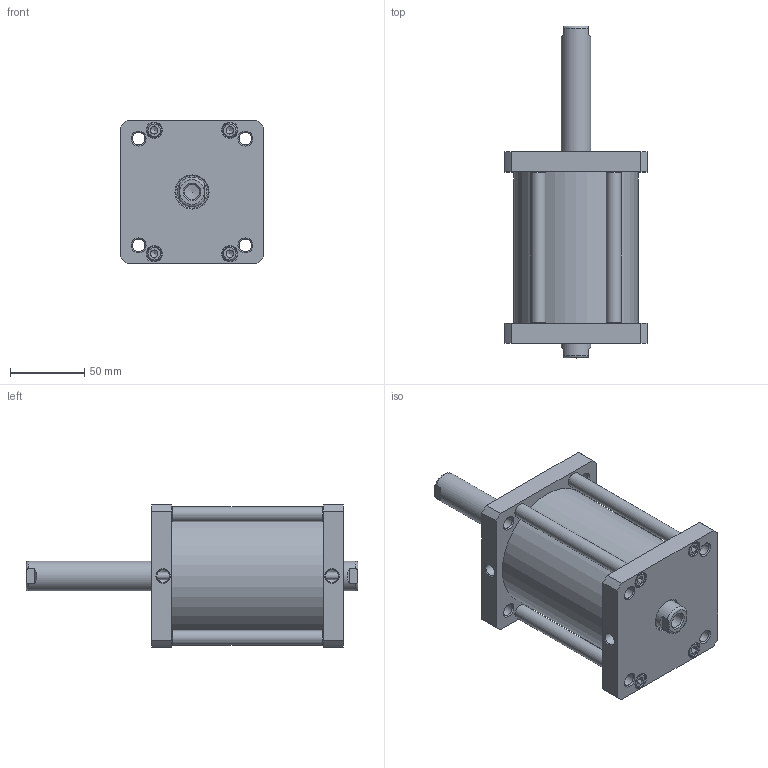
import cadquery as cq
import math


plate_size = 96.0
plate_thickness = 13.5
plate_corner_diameter = 130.0
plate_gap = 102.0
rear_plate_y = plate_thickness + plate_gap
body_length = rear_plate_y + plate_thickness

mount_offset = 36.0
mount_hole_diameter = 8.38
mount_mouth_diameter = 10.0

port_diameter = 8.57
port_mouth_diameter = 9.7
port_depth = 14.0
port_y = 7.5
drill_point_angle = 118.0

bore_mouth_diameter = 23.0
bore_recess_diameter = 21.9
bore_recess_depth = 2.0
bore_mouth_depth = (bore_mouth_diameter - bore_recess_diameter) / 2

barrel_outer_diameter = 84.0
barrel_inner_diameter = 80.0

rod_diameter = 20.0
rod_front_reach = 10.0
rod_rear_reach = 85.0
rod_tip_radius = 1.7
flat_width = 17.0
flat_length = 6.0
flat_run_out_length = 1.2
rod_thread_diameter = 10.11
rod_thread_mouth = 12.0
rod_thread_depth = 20.0
rod_thread_point_angle = 160.0

tie_x = 25.5
tie_z = 41.7
tie_diameter = 10.0
tie_chamfer = 0.5
tie_shank_diameter = 6.0
head_diameter = 10.0
head_height = 6.0
head_chamfer = 0.8
head_recess_diameter = 10.5
head_recess_mouth = 11.0
head_recess_depth = 6.5
hex_across_flats = 5.0
hex_depth = 4.0

pin_diameter = 5.0
pin_x = -34.0
pin_end_y = 1.5

signs = (-1, 1)
tie_points = [(sx * tie_x, sz * tie_z) for sx in signs for sz in signs]
mount_points = [(sx * mount_offset, sz * mount_offset) for sx in signs for sz in signs]


def cone_y(x, z, y_start, y_end, start_diameter, end_diameter):
    """Cone along Y whose diameter changes from y_start to y_end."""
    base = cq.Vector(x, y_start, z)
    length = y_end - y_start
    cone = cq.Solid.makeCone(start_diameter / 2, end_diameter / 2, length, base, cq.Vector(0, 1, 0))
    return cq.Workplane(obj=cone)


def cylinder_y(x, z, y_start, y_end, diameter):
    """Cylinder along Y from y_start to y_end."""
    base = cq.Vector(x, y_start, z)
    cylinder = cq.Solid.makeCylinder(diameter / 2, y_end - y_start, base, cq.Vector(0, 1, 0))
    return cq.Workplane(obj=cylinder)


def mirror_to_rear(shape):
    """Turn a front-end feature into the matching rear-end one."""
    return shape.mirror("XZ", (0, body_length / 2, 0))


def point_height(diameter, point_angle):
    """Height of the cone at the bottom of a drilled hole."""
    return diameter / 2 / math.tan(math.radians(point_angle / 2))


def mouth(x, z, hole_diameter, mouth_diameter):
    """45 degree countersinks on both faces of the front plate."""
    depth = (mouth_diameter - hole_diameter) / 2
    outer = cone_y(x, z, 0, depth, mouth_diameter, hole_diameter)
    inner = cone_y(x, z, plate_thickness - depth, plate_thickness, hole_diameter, mouth_diameter)
    return outer.union(inner)


def make_port():
    """Drilled port, entered from the -X side between the two faces of the plate."""
    radius = port_diameter / 2
    mouth_radius = port_mouth_diameter / 2
    mouth_depth = mouth_radius - radius
    profile = (
        cq.Workplane("XY")
        .lineTo(0, mouth_radius)
        .lineTo(mouth_depth, radius)
        .lineTo(port_depth, radius)
        .lineTo(port_depth + point_height(port_diameter, drill_point_angle), 0)
        .close()
    )
    port = profile.revolve(360, (0, 0, 0), (1, 0, 0))
    return port.translate((-plate_size / 2, port_y, 0))


def make_front_plate():
    plate = cq.Workplane("XY").box(plate_size, plate_thickness, plate_size, centered=(True, False, True))
    plate = plate.intersect(cylinder_y(0, 0, 0, plate_thickness, plate_corner_diameter))
    plate = plate.cut(cylinder_y(0, 0, 0, plate_thickness, rod_diameter))
    plate = plate.cut(cylinder_y(0, 0, 0, bore_recess_depth, bore_recess_diameter))
    plate = plate.cut(cone_y(0, 0, 0, bore_mouth_depth, bore_mouth_diameter, bore_recess_diameter))
    for x, z in mount_points:
        plate = plate.cut(cylinder_y(x, z, 0, plate_thickness, mount_hole_diameter))
        plate = plate.cut(mouth(x, z, mount_hole_diameter, mount_mouth_diameter))
    mouth_depth = (head_recess_mouth - head_recess_diameter) / 2
    for x, z in tie_points:
        plate = plate.cut(cylinder_y(x, z, 0, plate_thickness, tie_shank_diameter))
        plate = plate.cut(cylinder_y(x, z, 0, head_recess_depth, head_recess_diameter))
        plate = plate.cut(cone_y(x, z, 0, mouth_depth, head_recess_mouth, head_recess_diameter))
    plate = plate.cut(make_port())
    return plate.cut(cylinder_y(pin_x, 0, pin_end_y, plate_thickness, pin_diameter))


def make_barrel():
    outer = cylinder_y(0, 0, plate_thickness, rear_plate_y, barrel_outer_diameter)
    return outer.cut(cylinder_y(0, 0, plate_thickness, rear_plate_y, barrel_inner_diameter))


def rod_flats(tip_y, inward):
    """Pair of wrench flats at a rod tip, each running out on a slope."""
    half_width = flat_width / 2
    end_y = tip_y + inward * flat_length
    cutters = cq.Workplane("XY").workplane(offset=-rod_diameter / 2)
    for side in signs:
        cutters = (
            cutters.moveTo(side * half_width, tip_y)
            .lineTo(side * half_width, end_y)
            .lineTo(side * rod_diameter / 2, end_y + inward * flat_run_out_length)
            .lineTo(side * rod_diameter / 2, tip_y)
            .close()
        )
    return cutters.extrude(rod_diameter)


def rod_thread_hole(tip_y, inward):
    """Tapped hole with a countersunk mouth and a drill point."""
    mouth_depth = (rod_thread_mouth - rod_thread_diameter) / 2
    bottom_y = tip_y + inward * rod_thread_depth
    point_y = bottom_y + inward * point_height(rod_thread_diameter, rod_thread_point_angle)
    profile = (
        cq.Workplane("XY")
        .moveTo(0, tip_y)
        .lineTo(rod_thread_mouth / 2, tip_y)
        .lineTo(rod_thread_diameter / 2, tip_y + inward * mouth_depth)
        .lineTo(rod_thread_diameter / 2, bottom_y)
        .lineTo(0, point_y)
        .close()
    )
    return profile.revolve(360, (0, 0, 0), (0, 1, 0))


def make_rod():
    front_y = -rod_front_reach
    rear_y = body_length + rod_rear_reach
    rod = cylinder_y(0, 0, front_y, rear_y, rod_diameter)
    rod = rod.edges().fillet(rod_tip_radius)
    for tip_y, inward in ((front_y, 1), (rear_y, -1)):
        rod = rod.cut(rod_flats(tip_y, inward))
        rod = rod.cut(rod_thread_hole(tip_y, inward))
    return rod


def tie_rod_head(x, z):
    """Socket head at the front end of a tie rod, seated in its recess."""
    face_y = head_recess_depth - head_height
    head = cylinder_y(x, z, face_y, head_recess_depth, head_diameter).faces("<Y").chamfer(head_chamfer)
    hex_corners = hex_across_flats / math.cos(math.radians(30))
    socket = (
        cq.Workplane("XZ", origin=(x, face_y, z))
        .transformed(rotate=(0, 0, 90))
        .polygon(6, hex_corners)
        .extrude(-hex_depth)
    )
    socket_bottom = face_y + hex_depth
    point_y = socket_bottom + point_height(hex_across_flats, drill_point_angle)
    return head.cut(socket).cut(cone_y(x, z, socket_bottom, point_y, hex_across_flats, 0))


def make_tie_rod(x, z):
    bar = cylinder_y(x, z, plate_thickness, rear_plate_y, tie_diameter).edges().chamfer(tie_chamfer)
    shank = cylinder_y(x, z, head_recess_depth, body_length - head_recess_depth, tie_shank_diameter)
    head = tie_rod_head(x, z)
    return bar.union(shank).union(head).union(mirror_to_rear(head))


def make_pin():
    return cylinder_y(pin_x, 0, pin_end_y, body_length - pin_end_y, pin_diameter)


front_plate = make_front_plate()
rear_plate = mirror_to_rear(front_plate)
barrel = make_barrel()
rod = make_rod()
tie_rods = [make_tie_rod(x, z) for x, z in tie_points]
port_pin = make_pin()

result = cq.Compound.makeCompound(
    [
        front_plate.val(),
        rear_plate.val(),
        barrel.val(),
        rod.val(),
        *[tie_rod.val() for tie_rod in tie_rods],
        port_pin.val(),
    ]
)